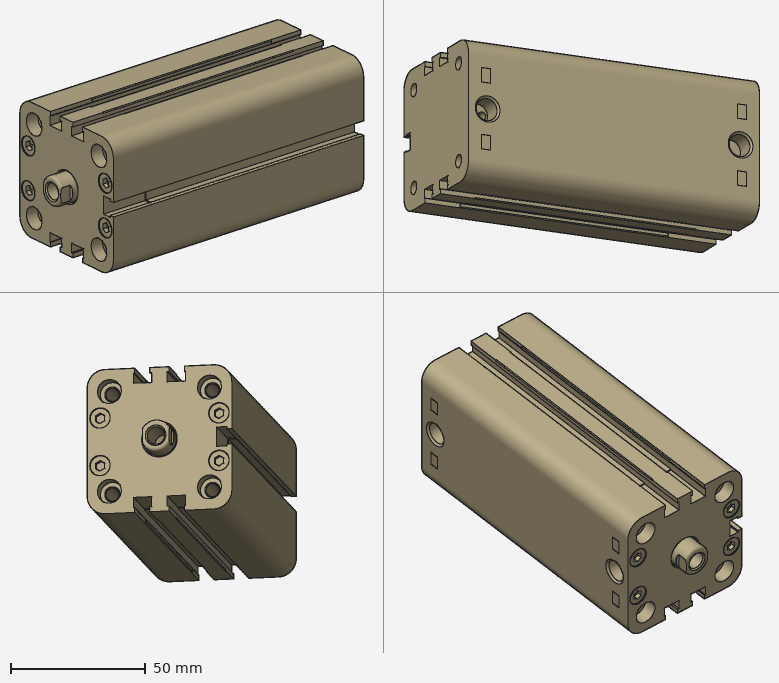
import cadquery as cq


total_length = 127.0
rod_length = 7.0
body_length = total_length - rod_length
body_width = 54.7
half_width = body_width / 2
corner_radius = 6.9
front_cap_length = 14.6
rear_cap_length = 14.4
barrel_end = body_length - rear_cap_length

lip_depth = 1.9
slot_depth = 5.3
slot_rib_side = 3.7
slot_outer_side = 9.4
slot_rib_undercut = 0.8
slot_outer_undercut = 0.4
side_slot_half_lip = 2.9
side_slot_undercut = 0.4
rib_chamfer = 0.4
bead_height = 0.4
bead_edge = 0.4

entry_length = 20.0
entry_clearance = 0.4

mount_offset = 18.9
mount_bore = 9.0
mount_bore_depth = 5.5
mount_hole = 5.0
mount_mouth = 5.7

screw_x = 22.5
screw_z = 9.0
screw_bore = 7.7
screw_recess = 0.4
screw_head = 7.5
screw_bore_depth = 3.8
screw_socket_flats = 3.4
screw_socket_depth = 1.9

port_offset = 7.9
port_mouth = 10.2
port_bore = 8.5
port_depth = 8.9
passage_bore = 3.0
passage_shift = 2.0
passage_depth = 6.4

label_offset = 7.2
label_z = 13.0
label_length = 3.8
label_height = 5.6
label_depth = 0.1

rod_diameter = 12.0
rod_seal_bore = 12.5
rod_seal_mouth = 13.5
rod_seal_depth = 3.8
rod_tip_fillet = 1.1
rod_flats = 10.2
rod_flat_length = 4.5
rod_flat_run_out = 0.6
rod_thread_bore = 6.6
rod_thread_mouth = 7.7
rod_thread_depth = 15.2
rod_thread_cone = 1.9


def prism(points, start, end):
    """Extrude an (X, Z) outline along Y from start to end."""
    outline = cq.Workplane("XZ", origin=(0, start, 0)).polyline(points).close()
    return outline.extrude(start - end)


def revolve_about_y(profile):
    """Revolve a closed (radius, Y) outline about the Y axis."""
    return cq.Workplane("XY").polyline(profile).close().revolve(360, (0, 0), (0, 1))


def each_quadrant(shape):
    """Copy a shape from the +X +Z quadrant into all four quadrants."""
    pair = shape.union(shape.mirror("YZ"))
    return pair.union(pair.mirror("XY"))


def mouth_chamfered_bore(bore, mouth, depth):
    """Bore entering at Y = 0 towards +Y, with a 45 degree chamfer at its mouth."""
    chamfer = (mouth - bore) / 2
    profile = [(0, 0), (mouth / 2, 0), (bore / 2, chamfer), (bore / 2, depth), (0, depth)]
    return revolve_about_y(profile)


def body():
    block = cq.Workplane("XZ").rect(body_width, body_width).extrude(-body_length)
    return block.edges("|Y").fillet(corner_radius)


def slot_outline(depth):
    lip_z = half_width - lip_depth
    floor_z = half_width - depth
    return [
        (slot_rib_side, half_width),
        (slot_rib_side, lip_z),
        (slot_rib_side - slot_rib_undercut, lip_z),
        (slot_rib_side - slot_rib_undercut, floor_z),
        (slot_outer_side + slot_outer_undercut, floor_z),
        (slot_outer_side + slot_outer_undercut, lip_z),
        (slot_outer_side, lip_z),
        (slot_outer_side, half_width),
    ]


def top_and_bottom_slots():
    through = prism(slot_outline(slot_depth), 0, body_length)
    entry = prism(slot_outline(slot_depth + entry_clearance), 0, entry_length)
    chamfer_outline = [
        (slot_rib_side, half_width),
        (slot_rib_side - rib_chamfer, half_width),
        (slot_rib_side, half_width - rib_chamfer),
    ]
    chamfer = prism(chamfer_outline, front_cap_length, barrel_end)
    bead_outline = [
        (slot_outer_side, half_width),
        (slot_outer_side - bead_height, half_width - bead_edge),
        (slot_outer_side - bead_height, half_width - lip_depth + bead_edge),
        (slot_outer_side, half_width - lip_depth),
    ]
    bead = prism(bead_outline, entry_length, barrel_end)
    return each_quadrant(through.union(entry).union(chamfer).cut(bead))


def side_slot_outline(half_undercut, depth):
    lip_x = half_width - lip_depth
    floor_x = half_width - depth
    upper = [
        (half_width, side_slot_half_lip),
        (lip_x, side_slot_half_lip),
        (lip_x, half_undercut),
        (floor_x, half_undercut),
    ]
    lower = [(x, -z) for x, z in reversed(upper)]
    return upper + lower


def side_slot():
    half_undercut = side_slot_half_lip + side_slot_undercut
    through = prism(side_slot_outline(half_undercut, slot_depth), 0, body_length)
    entry_outline = side_slot_outline(half_undercut + entry_clearance, slot_depth + entry_clearance)
    return through.union(prism(entry_outline, 0, entry_length))


def mounting_hole():
    """Counterbored through hole with a chamfer where it leaves the counterbore floor."""
    bore = cq.Workplane("XZ").circle(mount_bore / 2).extrude(-mount_bore_depth)
    hole = mouth_chamfered_bore(mount_hole, mount_mouth, body_length - mount_bore_depth)
    return bore.union(hole.translate((0, mount_bore_depth, 0)))


def mounting_holes():
    return each_quadrant(mounting_hole().translate((mount_offset, 0, mount_offset)))


def screw_clearance():
    """Void around one cap screw: the bore less the head, plus its hexagon socket."""
    front = cq.Workplane("XZ")
    bore = front.circle(screw_bore / 2).extrude(-screw_bore_depth)
    head = front.workplane(offset=-screw_recess).circle(screw_head / 2).extrude(-screw_bore_depth)
    socket = front.polygon(6, screw_socket_flats, circumscribed=True)
    socket = socket.extrude(-screw_recess - screw_socket_depth)
    return bore.cut(head).union(socket)


def cap_screws():
    return each_quadrant(screw_clearance().translate((screw_x, 0, screw_z)))


def port(y, passage_y):
    """One air port entering from the -X side, with a small passage in its floor."""
    bore = mouth_chamfered_bore(port_bore, port_mouth, port_depth)
    bore = bore.rotate((0, 0, 0), (0, 0, 1), -90).translate((-half_width, y, 0))
    side = cq.Workplane("YZ", origin=(-half_width, 0, 0))
    passage = side.center(passage_y, 0).circle(passage_bore / 2).extrude(port_depth + passage_depth)
    return bore.union(passage)


def ports():
    front_y = port_offset
    rear_y = body_length - port_offset
    return port(front_y, front_y + passage_shift).union(port(rear_y, rear_y - passage_shift))


def label_panels():
    places = [(y, z) for y in (label_offset, body_length - label_offset) for z in (-label_z, label_z)]
    side = cq.Workplane("YZ", origin=(-half_width, 0, 0)).pushPoints(places)
    return side.rect(label_length, label_height).extrude(label_depth)


def rod():
    shaft = cq.Workplane("XZ").circle(rod_diameter / 2).extrude(rod_length)
    shaft = shaft.faces("<Y").edges().fillet(rod_tip_fillet)
    shaft = shaft.union(cq.Workplane("XZ").circle(rod_diameter / 2).extrude(-rod_seal_depth))
    flat = rod_flats / 2
    run_out = flat + rod_flat_run_out
    flat_end = rod_flat_length - rod_length
    flat_outline = [
        (flat, -rod_length),
        (flat, flat_end),
        (run_out, flat_end + rod_flat_run_out),
        (rod_diameter, flat_end + rod_flat_run_out),
        (rod_diameter, -rod_length),
    ]
    flat_cut = cq.Workplane("XY").polyline(flat_outline).close().extrude(rod_diameter / 2, both=True)
    return shaft.cut(flat_cut).cut(flat_cut.mirror("YZ"))


def rod_thread():
    bore = mouth_chamfered_bore(rod_thread_bore, rod_thread_mouth, rod_thread_depth)
    cone = revolve_about_y([
        (0, rod_thread_depth),
        (rod_thread_bore / 2, rod_thread_depth),
        (0, rod_thread_depth + rod_thread_cone),
    ])
    return bore.union(cone).translate((0, -rod_length, 0))


result = body()
result = result.cut(top_and_bottom_slots()).cut(side_slot())
result = result.cut(mounting_holes()).cut(cap_screws())
result = result.cut(ports()).cut(label_panels())
result = result.cut(mouth_chamfered_bore(rod_seal_bore, rod_seal_mouth, rod_seal_depth))
result = result.union(rod()).cut(rod_thread())